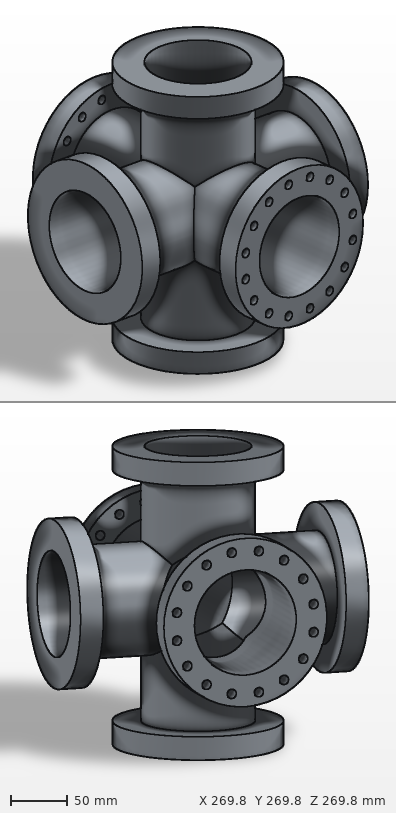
import cadquery as cq

face_to_face = 269.8
flange_diameter = 152.5
flange_thickness = 21.3
tube_diameter = 101.7
bore_diameter = 95.2

bolt_circle_diameter = 130.3
bolt_hole_diameter = 8.4
bolt_count = 16
bolt_spacing_angle = 360.0 / bolt_count

half_length = face_to_face / 2
flange_inner_face = half_length - flange_thickness

tube_planes = ["YZ", "XZ", "XY"]


def centred_cylinder(plane, diameter):
    """Full-length cylinder along the normal of a plane, centred on the origin."""
    return cq.Workplane(plane).circle(diameter / 2).extrude(half_length, both=True)


def flange(plane, start):
    """Flange disc whose lower face lies at the given distance along the plane normal."""
    return (
        cq.Workplane(plane)
        .workplane(offset=start)
        .circle(flange_diameter / 2)
        .extrude(flange_thickness)
    )


def bolt_holes(start):
    """Ring of hole cutters through one X flange, with the holes straddling the Y and Z axes."""
    return (
        cq.Workplane("YZ")
        .workplane(offset=start)
        .polarArray(bolt_circle_diameter / 2, bolt_spacing_angle / 2, 360, bolt_count)
        .circle(bolt_hole_diameter / 2)
        .extrude(flange_thickness)
    )


flange_starts = [-half_length, flange_inner_face]

cross = cq.Workplane("XY")
for plane in tube_planes:
    cross = cross.union(centred_cylinder(plane, tube_diameter))
    for start in flange_starts:
        cross = cross.union(flange(plane, start))

for plane in tube_planes:
    cross = cross.cut(centred_cylinder(plane, bore_diameter))

for start in flange_starts:
    cross = cross.cut(bolt_holes(start))

result = cross